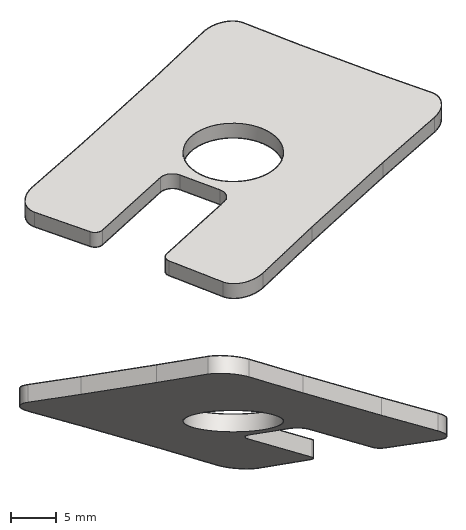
import cadquery as cq

width = 30.0
length = 42.45
thickness = 2.0
half_width = width / 2
half_length = length / 2

corner_size_x = 2.75
corner_size_y = 3.8
corner_x = half_width - corner_size_x
corner_y = half_length - corner_size_y

edge_dip = 0.15
side_flat_half = 7.2
end_flat_half = 5.15
dipped_x = half_width - edge_dip
dipped_y = half_length - edge_dip

hole_diameter = 11.0
slot_half_width = 4.15
slot_end_y = -6.75
slot_inner_radius = 1.55
slot_mouth_radius = end_flat_half - slot_half_width


def make_plate():
    """Plate with elliptical corners and slightly hollow edges, centred on the origin."""
    quarter_ellipse = {"x_radius": corner_size_y, "y_radius": corner_size_x, "rotation_angle": 90}
    outline = (
        cq.Workplane("XY")
        .workplane(offset=-thickness / 2)
        .moveTo(end_flat_half, -dipped_y)
        .lineTo(corner_x, -half_length)
        .ellipseArc(angle1=180, angle2=270, startAtCurrent=True, **quarter_ellipse)
        .lineTo(dipped_x, -side_flat_half)
        .lineTo(dipped_x, side_flat_half)
        .lineTo(half_width, corner_y)
        .ellipseArc(angle1=270, angle2=360, startAtCurrent=True, **quarter_ellipse)
        .lineTo(end_flat_half, dipped_y)
        .lineTo(-end_flat_half, dipped_y)
        .lineTo(-corner_x, half_length)
        .ellipseArc(angle1=0, angle2=90, startAtCurrent=True, **quarter_ellipse)
        .lineTo(-dipped_x, side_flat_half)
        .lineTo(-dipped_x, -side_flat_half)
        .lineTo(-half_width, -corner_y)
        .ellipseArc(angle1=90, angle2=180, startAtCurrent=True, **quarter_ellipse)
        .lineTo(-end_flat_half, -dipped_y)
        .close()
    )
    return outline.extrude(thickness)


def make_slot():
    """Slot cutter with rounded inner corners and a mouth flared by tangent arcs."""
    inner_y = slot_end_y - slot_inner_radius
    inner_x = slot_half_width - slot_inner_radius
    mouth_y = -dipped_y + slot_mouth_radius
    return (
        cq.Workplane("XY")
        .workplane(offset=-thickness / 2)
        .moveTo(-end_flat_half, -dipped_y)
        .radiusArc((-slot_half_width, mouth_y), -slot_mouth_radius)
        .lineTo(-slot_half_width, inner_y)
        .radiusArc((-inner_x, slot_end_y), slot_inner_radius)
        .lineTo(inner_x, slot_end_y)
        .radiusArc((slot_half_width, inner_y), slot_inner_radius)
        .lineTo(slot_half_width, mouth_y)
        .radiusArc((end_flat_half, -dipped_y), -slot_mouth_radius)
        .close()
        .extrude(thickness)
    )


hole = cq.Workplane("XY").circle(hole_diameter / 2).extrude(thickness, both=True)
result = make_plate().cut(make_slot()).cut(hole)